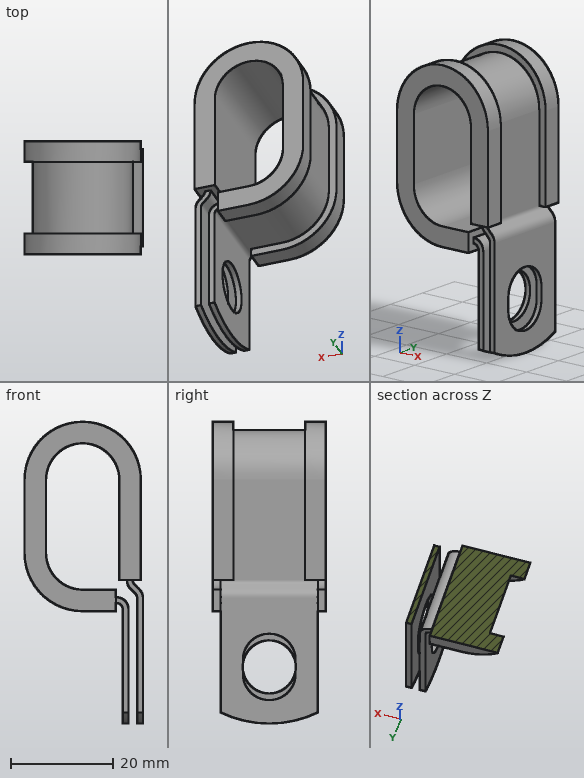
import cadquery as cq
import math

cushion_width = 22.1
outer_radius = 11.4
wall = 4.25
inner_radius = outer_radius - wall
arc_spacing = 2 * inner_radius
arm_end_x = 6.5
leg_end_z = -5.3

recess_width = 14.0
recess_depth = 1.6

strap_thickness = 1.2
strap_width = 19.0
strap_radius = outer_radius - recess_depth - strap_thickness / 2
embed_length = 1.2
inner_tab_x = 8.4
outer_tab_x = 11.2
bend_radius = 1.75
jog_angle = math.radians(45)

overall_height = 59.0
tab_bottom_z = arc_spacing + outer_radius - overall_height
tab_end_sag = 2.2
hole_diameter = 10.3
slot_length = 13.0
hole_z = -22.25


def loop_band(radius, thickness, width):
    """Loop wall with the given outside radius, centred on Y = 0."""
    inside = radius - thickness
    return (
        cq.Workplane("XZ")
        .moveTo(arm_end_x, -radius)
        .lineTo(0, -radius)
        .radiusArc((-radius, 0), radius)
        .lineTo(-radius, arc_spacing)
        .threePointArc((0, arc_spacing + radius), (radius, arc_spacing))
        .lineTo(radius, leg_end_z)
        .lineTo(inside, leg_end_z)
        .lineTo(inside, arc_spacing)
        .threePointArc((0, arc_spacing + inside), (-inside, arc_spacing))
        .lineTo(-inside, 0)
        .radiusArc((0, -inside), -inside)
        .lineTo(arm_end_x, -inside)
        .close()
        .extrude(width / 2, both=True)
    )


def make_cushion():
    body = loop_band(outer_radius, wall, cushion_width)
    recess = loop_band(outer_radius, recess_depth, recess_width)
    return body.cut(recess)


def make_arm_strap():
    """Strap leaving the lower arm and turning down into the inner tab."""
    path = (
        cq.Workplane("XZ")
        .moveTo(arm_end_x - embed_length, -strap_radius)
        .lineTo(inner_tab_x - bend_radius, -strap_radius)
        .radiusArc((inner_tab_x, -strap_radius - bend_radius), bend_radius)
        .lineTo(inner_tab_x, tab_bottom_z)
    )
    start = cq.Workplane("YZ", origin=(arm_end_x - embed_length, 0, -strap_radius))
    return start.rect(strap_width, strap_thickness).sweep(path)


def make_leg_strap():
    """Strap leaving the leg and jogging outwards into the outer tab."""
    arc_x = bend_radius * (1 - math.cos(jog_angle))
    arc_z = bend_radius * math.sin(jog_angle)
    slope_x = outer_tab_x - strap_radius - 2 * arc_x
    slope_z = slope_x / math.tan(jog_angle)
    slope_start = (strap_radius + arc_x, leg_end_z - arc_z)
    slope_end = (slope_start[0] + slope_x, slope_start[1] - slope_z)
    path = (
        cq.Workplane("XZ")
        .moveTo(strap_radius, leg_end_z + embed_length)
        .lineTo(strap_radius, leg_end_z)
        .radiusArc(slope_start, -bend_radius)
        .lineTo(*slope_end)
        .radiusArc((outer_tab_x, slope_end[1] - arc_z), bend_radius)
        .lineTo(outer_tab_x, tab_bottom_z)
    )
    start = cq.Workplane("XY", origin=(strap_radius, 0, leg_end_z + embed_length))
    return start.rect(strap_thickness, strap_width).sweep(path)


def make_tab_envelope():
    """Prism along X with the rounded tab end, used to trim both tabs."""
    half_width = strap_width / 2
    corner_z = tab_bottom_z + tab_end_sag
    return (
        cq.Workplane("YZ")
        .moveTo(-half_width, 0)
        .lineTo(-half_width, corner_z)
        .threePointArc((0, tab_bottom_z), (half_width, corner_z))
        .lineTo(half_width, 0)
        .close()
        .extrude(2 * outer_radius)
    )


def make_round_hole():
    return (
        cq.Workplane("YZ", origin=(0, 0, hole_z))
        .circle(hole_diameter / 2)
        .extrude(2 * outer_radius)
    )


def make_upright_slot():
    return (
        cq.Workplane("YZ", origin=(0, 0, hole_z))
        .slot2D(slot_length, hole_diameter, 90)
        .extrude(2 * outer_radius)
    )


tab_envelope = make_tab_envelope()
arm_strap = make_arm_strap().intersect(tab_envelope).cut(make_round_hole())
leg_strap = make_leg_strap().intersect(tab_envelope).cut(make_upright_slot())
result = make_cushion().union(arm_strap).union(leg_strap)